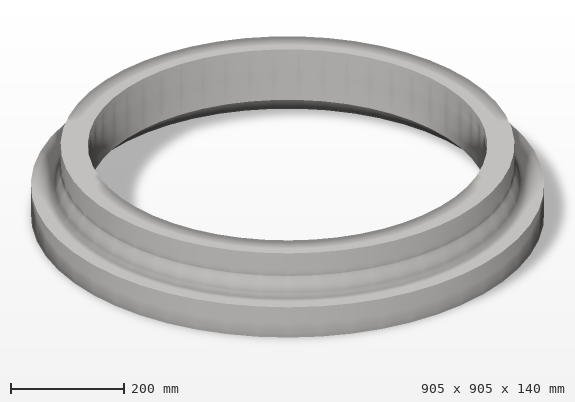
import cadquery as cq
import math

flange_radius = 452.5
total_height = 140.0
flange_height = 61.0

neck_radius = 400.0
neck_straight_height = 45.0
bore_radius = 352.0
bore_chamfer = 39.0

hub_taper_angle = math.radians(20)
blend_radius = 11.0

hub_top = total_height - neck_straight_height
blend_top = flange_height + blend_radius * (1 - math.sin(hub_taper_angle))
hub_base_radius = neck_radius + (hub_top - blend_top) * math.tan(hub_taper_angle)
blend_outer_radius = hub_base_radius + blend_radius * math.cos(hub_taper_angle)

blend_mid_angle = (math.pi / 2 + hub_taper_angle) / 2
blend_midpoint = (
    blend_outer_radius - blend_radius * math.cos(blend_mid_angle),
    flange_height + blend_radius * (1 - math.sin(blend_mid_angle)),
)

section = (
    cq.Workplane("XZ")
    .moveTo(bore_radius + bore_chamfer, 0)
    .lineTo(flange_radius, 0)
    .lineTo(flange_radius, flange_height)
    .lineTo(blend_outer_radius, flange_height)
    .threePointArc(blend_midpoint, (hub_base_radius, blend_top))
    .lineTo(neck_radius, hub_top)
    .lineTo(neck_radius, total_height)
    .lineTo(bore_radius, total_height)
    .lineTo(bore_radius, bore_chamfer)
    .close()
)

result = section.revolve(360, (0, 0, 0), (0, 1, 0))